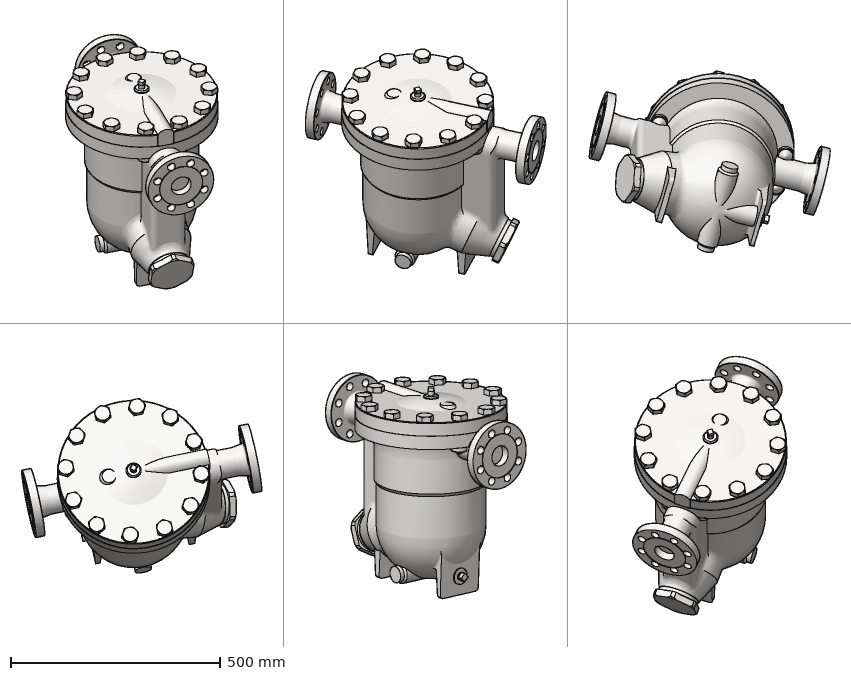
import cadquery as cq
import math


SEAM_SAMPLES = (0.25, 0.6)
SEAM_TOLERANCE = 0.01

FLANGE_RADIUS = 365 / 2
COVER_RADIUS = FLANGE_RADIUS - 1
COVER_TOP = 77.3
COVER_JOINT = 44.2
COVER_CHAMFER = 2
FLANGE_BOTTOM = 11
NECK_TOP = 8.6
NECK_TOP_RADIUS = 143
NECK_BOTTOM = -28
NECK_FLARE_BIAS = 0.3
UPPER_RADIUS = 137
UPPER_BOTTOM = -113
LOWER_RADIUS = 131.8
LOWER_TOP = -120.6
BOWL_CENTRE = -225.6
BOWL_BOTTOM = BOWL_CENTRE - LOWER_RADIUS

DOME_RADIUS = 83
DOME_HEIGHT = 12
VENT_RADIUS = 18
VENT_CHAMFER = 3
VENT_TOP = 94.4
STEM_RADIUS = 7.5
STEM_TOP = 105
STEM_HEAD_DIAGONAL = 18
STEM_HEAD_TOP = 113.3
COVER_PLUG_X = -60
COVER_PLUG_RADIUS = 18
COVER_PLUG_FLARE = 4.5
COVER_PLUG_CHAMFER = 1.5
COVER_PLUG_TOP = 85.6
RIB_HALF_WIDTH = 20.2
RIB_TOP = 89

BOLT_COUNT = 12
BOLT_CIRCLE_RADIUS = 162
BOLT_FLATS = 36
BOLT_HEAD_HEIGHT = 13.7
BOLT_TWIST = 45
NUT_BOSS_RADIUS = 20
NUT_BOSS_BOTTOM = 0
NUT_TIP_RADIUS = 17
NUT_TIP_BOTTOM = -10.7

INLET_FACE_X = -257.5
OUTLET_FACE_X = 297.5
PIPE_RADIUS = 35
PIPE_HUB_RADIUS = 39
PIPE_FLANGE_RADIUS = 165 / 2
PIPE_FLANGE_BACK = 23.3
PIPE_FLANGE_CHAMFER = 1
RAISED_FACE_RADIUS = 54
RAISED_FACE_HEIGHT = 1.5
HUB_START = 28
HUB_END = 49
HUB_FILLET = 4
BORE_RADIUS = 25
BORE_DEPTH = 20
PIPE_BOLT_COUNT = 8
PIPE_BOLT_CIRCLE_RADIUS = 63.5
PIPE_BOLT_HOLE = 19.5

RISER_HALF_WIDTH = 43
RISER_ARC_CENTRE = -7.7
RISER_BOTTOM = -255
RISER_END_X = 208.6
RISER_EDGE_RADIUS = 14.5
OUTLET_FILLET = 9

BRANCH_TILT = 20
BRANCH_FACE_X = 230
BRANCH_FACE_Z = -298
BRANCH_RADIUS = 75
BRANCH_CONE_START = -90
BRANCH_NECK_RADIUS = 51
BRANCH_CONE_END = -27
COLLAR_RADIUS = 49
CAP_THICKNESS = 17
CAP_CORNER_RADIUS = 58
CAP_FLATS = 105.05
CAP_CHAMFER = 3
BRANCH_LENGTH = 200
BRANCH_FILLET = 20

DRAIN_RADIUS = 25
DRAIN_Z = -332
DRAIN_END = 100
DRAIN_CHAMFER = 5
DRAIN_PLUG_RADIUS = 20
DRAIN_PLUG_END = 111.3

LEG_HALF_WIDTH = 59.3
LEG_BOTTOM = -379.9
LEG_CORNER_RADIUS = 10
LEG_FILLET = 5
INLET_LEG_FOOT = (-105, -95)
INLET_LEG_TOP = (-110.5, -87)
INLET_LEG_TOP_Z = -262
OUTLET_LEG_FOOT = (123.5, 136.5)
OUTLET_LEG_TOP = (118, 142)
OUTLET_LEG_TOP_Z = -285

SIDE_PAD_X = -110.5
SIDE_PLUG_STEM_RADIUS = 9.5
SIDE_PLUG_HEAD_X = -114.6
SIDE_PLUG_END_X = -125.8
SIDE_PLUG_DIAGONAL = 22


def revolve_z(profile):
    """Revolve an XZ half profile about the Z axis."""
    return profile.close().revolve(360, (0, 0, 0), (0, 1, 0))


def x_cylinder(radius, start, end, z):
    return cq.Workplane("YZ", origin=(start, 0, z)).circle(radius).extrude(end - start)


def across_corners(flats):
    return flats / math.cos(math.pi / 6)


def hex_head(flats, height, bearing_z):
    """Hexagonal head on the Z axis with its top corners turned down to a circle across the flats."""
    corners = across_corners(flats)
    corner_drop = (corners - flats) / 2 * math.tan(math.pi / 6)
    prism = cq.Workplane("XY").workplane(offset=bearing_z).polygon(6, corners).extrude(height)
    top = bearing_z + height
    turned = revolve_z(
        cq.Workplane("XZ")
        .moveTo(0, bearing_z)
        .lineTo(corners / 2, bearing_z)
        .lineTo(corners / 2, top - corner_drop)
        .lineTo(flats / 2, top)
        .lineTo(0, top)
    )
    return prism.intersect(turned)


def square_head(diagonal, height):
    """Square head standing on the XY plane with its corners on the X and Y axes."""
    return cq.Workplane("XY").polygon(4, diagonal).extrude(height)


def fillet_union(base, addition, radius):
    """Fuse two solids and round the seam, the edges lying on the skins of both."""
    fused = base.union(addition)
    skins = [solid.shells().val() for solid in (base, addition)]

    def is_seam(edge):
        points = [cq.Vertex.makeVertex(*edge.positionAt(t).toTuple()) for t in SEAM_SAMPLES]
        return all(skin.distance(point) < SEAM_TOLERANCE for point in points for skin in skins)

    return fused.edges().filter(is_seam).fillet(radius)


def make_vessel():
    flare_mid_radius = UPPER_RADIUS + NECK_FLARE_BIAS * (NECK_TOP_RADIUS - UPPER_RADIUS)
    flare_mid_z = (NECK_TOP + NECK_BOTTOM) / 2
    bowl_diagonal = LOWER_RADIUS * math.sqrt(0.5)
    return revolve_z(
        cq.Workplane("XZ")
        .moveTo(0, COVER_JOINT)
        .lineTo(FLANGE_RADIUS, COVER_JOINT)
        .lineTo(FLANGE_RADIUS, FLANGE_BOTTOM)
        .lineTo(NECK_TOP_RADIUS, FLANGE_BOTTOM)
        .lineTo(NECK_TOP_RADIUS, NECK_TOP)
        .threePointArc((flare_mid_radius, flare_mid_z), (UPPER_RADIUS, NECK_BOTTOM))
        .lineTo(UPPER_RADIUS, UPPER_BOTTOM)
        .lineTo(LOWER_RADIUS, LOWER_TOP)
        .lineTo(LOWER_RADIUS, BOWL_CENTRE)
        .threePointArc((bowl_diagonal, BOWL_CENTRE - bowl_diagonal), (0, BOWL_BOTTOM))
    )


def make_branch():
    """Barrel, cone, collar and hexagonal cap, built along Z and then tilted into place."""
    barrel = revolve_z(
        cq.Workplane("XZ")
        .moveTo(0, -BRANCH_LENGTH)
        .lineTo(BRANCH_RADIUS, -BRANCH_LENGTH)
        .lineTo(BRANCH_RADIUS, BRANCH_CONE_START)
        .lineTo(BRANCH_NECK_RADIUS, BRANCH_CONE_END)
        .lineTo(COLLAR_RADIUS, BRANCH_CONE_END)
        .lineTo(COLLAR_RADIUS, -CAP_THICKNESS)
        .lineTo(0, -CAP_THICKNESS)
    )
    cap_blank = cq.Workplane("XY").circle(CAP_CORNER_RADIUS).extrude(-CAP_THICKNESS)
    cap_blank = cap_blank.faces(">Z").edges().chamfer(CAP_CHAMFER)
    cap = cq.Workplane("XY").polygon(6, across_corners(CAP_FLATS)).extrude(-CAP_THICKNESS)
    cap = cap.intersect(cap_blank)

    def place(shape):
        tilted = shape.rotate((0, 0, 0), (0, 1, 0), 90 + BRANCH_TILT)
        return tilted.translate((BRANCH_FACE_X, 0, BRANCH_FACE_Z))

    return place(barrel), place(cap)


def make_cover():
    cover = cq.Workplane("XY").workplane(offset=COVER_JOINT).circle(COVER_RADIUS)
    cover = cover.extrude(COVER_TOP - COVER_JOINT).faces(">Z").edges().chamfer(COVER_CHAMFER)
    dome_sphere = (DOME_RADIUS**2 + DOME_HEIGHT**2) / (2 * DOME_HEIGHT)
    mid_radius = DOME_RADIUS / 2
    mid_z = COVER_TOP + DOME_HEIGHT - dome_sphere + math.sqrt(dome_sphere**2 - mid_radius**2)
    dome = revolve_z(
        cq.Workplane("XZ")
        .moveTo(0, COVER_JOINT)
        .lineTo(DOME_RADIUS, COVER_JOINT)
        .lineTo(DOME_RADIUS, COVER_TOP)
        .threePointArc((mid_radius, mid_z), (0, COVER_TOP + DOME_HEIGHT))
    )
    rib = (
        cq.Workplane("YZ")
        .moveTo(-RIB_HALF_WIDTH, COVER_JOINT)
        .lineTo(-RIB_HALF_WIDTH, COVER_TOP)
        .threePointArc((0, RIB_TOP), (RIB_HALF_WIDTH, COVER_TOP))
        .lineTo(RIB_HALF_WIDTH, COVER_JOINT)
        .close()
        .extrude(FLANGE_RADIUS)
    )
    vent = revolve_z(
        cq.Workplane("XZ")
        .moveTo(0, COVER_TOP)
        .lineTo(VENT_RADIUS, COVER_TOP)
        .lineTo(VENT_RADIUS, VENT_TOP - VENT_CHAMFER)
        .lineTo(VENT_RADIUS - VENT_CHAMFER, VENT_TOP)
        .lineTo(STEM_RADIUS, VENT_TOP)
        .lineTo(STEM_RADIUS, STEM_TOP)
        .lineTo(0, STEM_TOP)
    )
    stem_head = square_head(STEM_HEAD_DIAGONAL, STEM_HEAD_TOP - STEM_TOP)
    stem_head = stem_head.translate((0, 0, STEM_TOP))
    plug = revolve_z(
        cq.Workplane("XZ")
        .moveTo(0, COVER_JOINT)
        .lineTo(COVER_PLUG_RADIUS + COVER_PLUG_FLARE, COVER_JOINT)
        .lineTo(COVER_PLUG_RADIUS + COVER_PLUG_FLARE, COVER_TOP)
        .lineTo(COVER_PLUG_RADIUS, COVER_PLUG_TOP - COVER_PLUG_CHAMFER)
        .lineTo(COVER_PLUG_RADIUS - COVER_PLUG_CHAMFER, COVER_PLUG_TOP)
        .lineTo(0, COVER_PLUG_TOP)
    ).translate((COVER_PLUG_X, 0, 0))
    return cover.union(dome).union(rib).union(vent).union(stem_head).union(plug)


def add_cover_bolts(body):
    pitch = 360 / BOLT_COUNT
    head = hex_head(BOLT_FLATS, BOLT_HEAD_HEIGHT, COVER_TOP)
    head = head.rotate((0, 0, 0), (0, 0, 1), BOLT_TWIST).translate((BOLT_CIRCLE_RADIUS, 0, 0))
    nut_boss = revolve_z(
        cq.Workplane("XZ")
        .moveTo(0, COVER_JOINT)
        .lineTo(NUT_BOSS_RADIUS, COVER_JOINT)
        .lineTo(NUT_BOSS_RADIUS, NUT_BOSS_BOTTOM)
        .lineTo(NUT_TIP_RADIUS, NUT_BOSS_BOTTOM)
        .lineTo(0, NUT_TIP_BOTTOM)
    ).translate((BOLT_CIRCLE_RADIUS, 0, 0))
    for index in range(BOLT_COUNT):
        angle = (index + 0.5) * pitch
        body = body.union(head.rotate((0, 0, 0), (0, 0, 1), angle))
        beside_a_pipe = abs(math.sin(math.radians(angle))) < math.sin(math.radians(pitch))
        if beside_a_pipe:
            body = body.union(nut_boss.rotate((0, 0, 0), (0, 0, 1), angle))
    return body


def make_pipe(face_x):
    """Flanged pipe along X; the distances in the profile run from the flange face inwards."""
    length = abs(face_x)
    pipe = (
        cq.Workplane("XY")
        .moveTo(0, 0)
        .lineTo(0, RAISED_FACE_RADIUS)
        .lineTo(RAISED_FACE_HEIGHT, RAISED_FACE_RADIUS)
        .lineTo(RAISED_FACE_HEIGHT, PIPE_FLANGE_RADIUS)
        .lineTo(PIPE_FLANGE_BACK - PIPE_FLANGE_CHAMFER, PIPE_FLANGE_RADIUS)
        .lineTo(PIPE_FLANGE_BACK, PIPE_FLANGE_RADIUS - PIPE_FLANGE_CHAMFER)
        .lineTo(PIPE_FLANGE_BACK, PIPE_HUB_RADIUS + HUB_FILLET)
        .radiusArc((HUB_START, PIPE_HUB_RADIUS), -(HUB_START - PIPE_FLANGE_BACK))
        .lineTo(HUB_END, PIPE_RADIUS)
        .lineTo(length, PIPE_RADIUS)
        .lineTo(length, 0)
        .close()
        .revolve(360, (0, 0, 0), (1, 0, 0))
    )
    holes = (
        cq.Workplane("YZ")
        .polarArray(PIPE_BOLT_CIRCLE_RADIUS, 180 / PIPE_BOLT_COUNT, 360, PIPE_BOLT_COUNT)
        .circle(PIPE_BOLT_HOLE / 2)
        .extrude(PIPE_FLANGE_BACK)
    )
    pipe = pipe.cut(holes)
    if face_x > 0:
        pipe = pipe.mirror("YZ")
    return pipe.translate((face_x, 0, 0))


def make_bore(face_x):
    inwards = -math.copysign(BORE_DEPTH, face_x)
    return x_cylinder(BORE_RADIUS, face_x, face_x + inwards, 0)


def make_riser():
    round_top = (
        cq.Workplane("YZ")
        .moveTo(-RISER_HALF_WIDTH, RISER_BOTTOM)
        .lineTo(-RISER_HALF_WIDTH, RISER_ARC_CENTRE)
        .threePointArc((0, RISER_ARC_CENTRE + RISER_HALF_WIDTH), (RISER_HALF_WIDTH, RISER_ARC_CENTRE))
        .lineTo(RISER_HALF_WIDTH, RISER_BOTTOM)
        .close()
        .extrude(RISER_END_X)
    )
    plan = cq.Workplane("XY", origin=(RISER_END_X / 2, 0, RISER_BOTTOM))
    plan = plan.rect(RISER_END_X, 2 * RISER_HALF_WIDTH).extrude(2 * abs(RISER_BOTTOM))
    plan = plan.edges("|Z and >X").fillet(RISER_EDGE_RADIUS)
    return round_top.intersect(plan)


def make_leg(foot, top, top_z):
    """Plate across Y, tapering in X from its top down to its foot, with rounded bottom corners."""
    outline = [(foot[0], LEG_BOTTOM), (foot[1], LEG_BOTTOM), (top[1], top_z), (top[0], top_z)]
    leg = cq.Workplane("XZ", origin=(0, LEG_HALF_WIDTH, 0)).polyline(outline).close()
    leg = leg.extrude(2 * LEG_HALF_WIDTH)
    return leg.faces("<Z").edges("|X").fillet(LEG_CORNER_RADIUS)


def y_cylinder(radius, half_length, z):
    return cq.Workplane("XZ", origin=(0, half_length, z)).circle(radius).extrude(2 * half_length)


def make_drain_bosses():
    """One boss running to the inlet-side leg and one crossing the bowl along Y."""
    leg_middle = sum(INLET_LEG_FOOT) / 2
    inlet_boss = x_cylinder(DRAIN_RADIUS, leg_middle, 0, DRAIN_Z)
    cross_boss = y_cylinder(DRAIN_RADIUS, DRAIN_END, DRAIN_Z)
    cross_boss = cross_boss.faces("<Y or >Y").edges().chamfer(DRAIN_CHAMFER)
    return inlet_boss.union(cross_boss)


def make_drain_plugs():
    """Round plugs at both ends of the cross boss and a square-headed plug in the inlet-side leg."""
    cross_plug = y_cylinder(DRAIN_PLUG_RADIUS, DRAIN_PLUG_END, DRAIN_Z)
    pad = x_cylinder(DRAIN_PLUG_RADIUS, SIDE_PAD_X, 0, DRAIN_Z)
    stem = x_cylinder(SIDE_PLUG_STEM_RADIUS, SIDE_PLUG_HEAD_X, 0, DRAIN_Z)
    head = square_head(SIDE_PLUG_DIAGONAL, SIDE_PLUG_HEAD_X - SIDE_PLUG_END_X)
    head = head.rotate((0, 0, 0), (0, 1, 0), 90).translate((SIDE_PLUG_END_X, 0, DRAIN_Z))
    return cross_plug.union(pad).union(stem).union(head)


barrel, cap = make_branch()
outlet = fillet_union(make_riser(), make_pipe(OUTLET_FACE_X), OUTLET_FILLET)
body = fillet_union(make_vessel().union(outlet), barrel, BRANCH_FILLET)
body = fillet_union(body, make_leg(INLET_LEG_FOOT, INLET_LEG_TOP, INLET_LEG_TOP_Z), LEG_FILLET)
body = body.union(make_leg(OUTLET_LEG_FOOT, OUTLET_LEG_TOP, OUTLET_LEG_TOP_Z))
body = body.union(make_drain_bosses()).union(make_drain_plugs()).union(cap)
body = body.union(make_cover()).union(make_pipe(INLET_FACE_X))
body = add_cover_bolts(body)
result = body.cut(make_bore(INLET_FACE_X)).cut(make_bore(OUTLET_FACE_X))